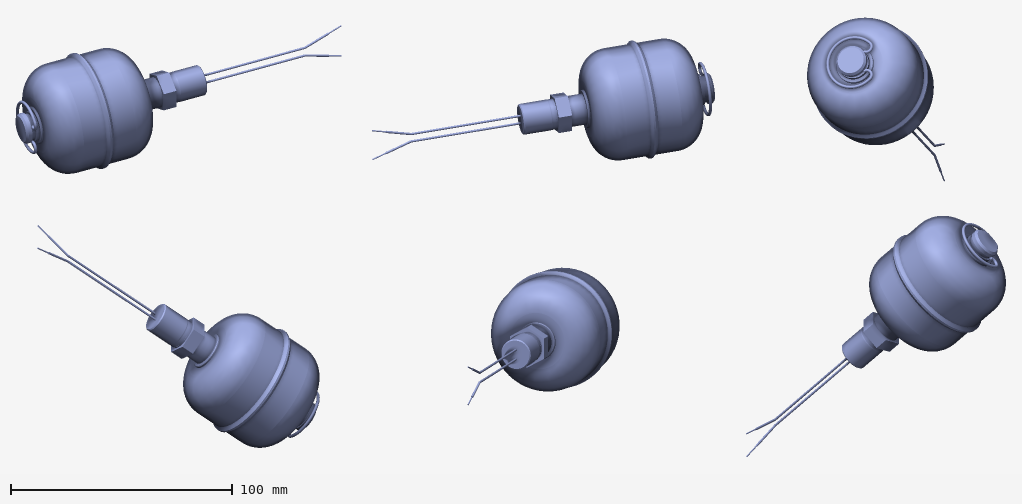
import cadquery as cq
import math


FLOAT_RADIUS = 25.6
FLOAT_HALF_LENGTH = 25.5
FLOAT_CORNER = 12.7
SEAM_RADIUS = 54.0 / 2
SEAM_HALF_BASE = 1.9
SEAM_HALF_TOP = 0.5
NECK_RADIUS = 8.7
NECK_LENGTH = 1.1
NECK_CHAMFER = 0.3
BORE_RADIUS = 7.1

STEM_RADIUS = 14.1 / 2
STEM_FRONT = -32.9
STEM_BACK = 56.0
STEM_FRONT_CHAMFER = 1.0
STEM_BACK_CHAMFER = 0.5
RELIEF_RADIUS = 7.0
RELIEF_START = 40.8
RELIEF_END = 43.0
RELIEF_SLOPE = 0.5

NUT_START = 34.0
NUT_END = 40.2
NUT_ACROSS_FLATS = 16.1

CLIP_Y = -29.5
CLIP_WIRE_RADIUS = 0.71
CLIP_RADIUS = 11.7
HOOK_RADIUS = 2.4
HOOK_START_ANGLE = 46
HOOK_END_ANGLE = -120
GROOVE_RADIUS = 6.2
GROOVE_START = CLIP_Y - CLIP_WIRE_RADIUS
GROOVE_END = -28.2

LEAD_OFFSET = 2.2
LEAD_RADIUS = 0.52
CORE_RADIUS = 0.3
LEAD_BEND_Y = 107.0
LEAD_TIP_X = -0.6
LEAD_TIP_Z = 8.7
LEAD_TIP_Y = 125.2
BARE_FRACTION = 0.35


def revolve_about_y(profile):
    return profile.close().revolve(360, (0, 0, 0), (0, 1, 0))


def make_float():
    """Rounded drum with a seam bead, a short neck at each end and a through bore."""
    neck_end = FLOAT_HALF_LENGTH + NECK_LENGTH
    body = cq.Workplane("XZ").circle(FLOAT_RADIUS).extrude(FLOAT_HALF_LENGTH, both=True)
    body = body.edges("%CIRCLE").fillet(FLOAT_CORNER)
    neck = cq.Workplane("XZ").circle(NECK_RADIUS).extrude(neck_end, both=True)
    neck = neck.edges("%CIRCLE").chamfer(NECK_CHAMFER)
    seam = revolve_about_y(
        cq.Workplane("XY")
        .moveTo(0, -SEAM_HALF_BASE)
        .lineTo(FLOAT_RADIUS, -SEAM_HALF_BASE)
        .lineTo(SEAM_RADIUS, -SEAM_HALF_TOP)
        .lineTo(SEAM_RADIUS, SEAM_HALF_TOP)
        .lineTo(FLOAT_RADIUS, SEAM_HALF_BASE)
        .lineTo(0, SEAM_HALF_BASE)
    )
    bore = cq.Workplane("XZ").circle(BORE_RADIUS).extrude(neck_end, both=True)
    return body.union(neck).union(seam).cut(bore)


def make_stem():
    """Turned rod with chamfered ends, a clip groove and a relief behind the nut."""
    return revolve_about_y(
        cq.Workplane("XY")
        .moveTo(0, STEM_FRONT)
        .lineTo(STEM_RADIUS - STEM_FRONT_CHAMFER, STEM_FRONT)
        .lineTo(STEM_RADIUS, STEM_FRONT + STEM_FRONT_CHAMFER)
        .lineTo(STEM_RADIUS, GROOVE_START)
        .lineTo(GROOVE_RADIUS, GROOVE_START)
        .lineTo(GROOVE_RADIUS, GROOVE_END)
        .lineTo(STEM_RADIUS, GROOVE_END)
        .lineTo(STEM_RADIUS, RELIEF_START)
        .lineTo(RELIEF_RADIUS, RELIEF_START)
        .lineTo(RELIEF_RADIUS, RELIEF_END - RELIEF_SLOPE)
        .lineTo(STEM_RADIUS, RELIEF_END)
        .lineTo(STEM_RADIUS, STEM_BACK - STEM_BACK_CHAMFER)
        .lineTo(STEM_RADIUS - STEM_BACK_CHAMFER, STEM_BACK)
        .lineTo(0, STEM_BACK)
    )


def make_nut():
    """Hexagonal ring around the stem, with corners at +Z and -Z."""
    across_corners = NUT_ACROSS_FLATS / math.cos(math.radians(30))
    return (
        cq.Workplane("XZ", origin=(0, NUT_END, 0))
        .transformed(rotate=(0, 0, 90))
        .polygon(6, across_corners)
        .circle(STEM_RADIUS)
        .extrude(NUT_END - NUT_START)
    )


def polar(radius, degrees):
    angle = math.radians(degrees)
    return cq.Vector(radius * math.cos(angle), radius * math.sin(angle))


def make_clip():
    """C-shaped round-wire clip whose two ends curl in to the stem groove."""
    hook_centre = polar(CLIP_RADIUS - HOOK_RADIUS, HOOK_START_ANGLE)
    hook_end = hook_centre + polar(HOOK_RADIUS, HOOK_END_ANGLE)
    hook_middle = hook_centre + polar(HOOK_RADIUS, (HOOK_START_ANGLE + HOOK_END_ANGLE) / 2)
    join = polar(CLIP_RADIUS, HOOK_START_ANGLE)
    path = (
        cq.Workplane("XZ", origin=(0, CLIP_Y, 0))
        .moveTo(hook_end.x, hook_end.y)
        .threePointArc((hook_middle.x, hook_middle.y), (join.x, join.y))
        .threePointArc((-CLIP_RADIUS, 0), (join.x, -join.y))
        .threePointArc((hook_middle.x, -hook_middle.y), (hook_end.x, -hook_end.y))
    )
    end_tangent = polar(1, HOOK_END_ANGLE + 90)
    end_plane = cq.Plane(
        origin=(hook_end.x, CLIP_Y, hook_end.y),
        xDir=(0, 1, 0),
        normal=(end_tangent.x, 0, end_tangent.y),
    )
    return cq.Workplane(end_plane).circle(CLIP_WIRE_RADIUS).sweep(path)


def make_lead(side):
    """Insulated wire leaving the stem, splayed outward and bared at its tip."""
    start = cq.Vector(0, STEM_BACK, side * LEAD_OFFSET)
    bend = cq.Vector(0, LEAD_BEND_Y, side * LEAD_OFFSET)
    tip = cq.Vector(LEAD_TIP_X, LEAD_TIP_Y, side * LEAD_TIP_Z)
    splay = tip - bend
    insulated_length = splay.Length * (1 - BARE_FRACTION)
    straight = cq.Solid.makeCylinder(LEAD_RADIUS, (bend - start).Length, start, bend - start)
    elbow = cq.Workplane("XY").sphere(LEAD_RADIUS).translate(bend)
    splayed = cq.Solid.makeCylinder(LEAD_RADIUS, insulated_length, bend, splay)
    core = cq.Solid.makeCylinder(CORE_RADIUS, splay.Length, bend, splay)
    return cq.Workplane(straight).union(elbow).union(cq.Workplane(splayed)).union(cq.Workplane(core))


float_body = make_float()
stem = make_stem()
nut = make_nut()
clip = make_clip()
leads = [make_lead(side) for side in (1, -1)]

result = cq.Compound.makeCompound(
    [float_body.val(), stem.val(), nut.val(), clip.val(), *[lead.val() for lead in leads]]
)